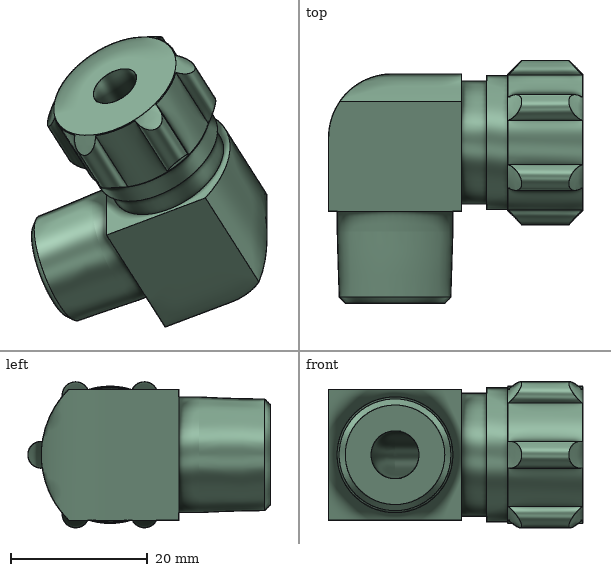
import cadquery as cq
import math


block_length = 19.45
block_height = 19.12
block_front = -10.05
block_back = 10.05
corner_radius = 9.35
back_edge = 6.03

neck_diameter = 18.0
neck_end = 23.1
collar_diameter = 19.6
collar_end = 26.15
nut_end = 37.2
nut_diameter = 20.1
lobe_count = 6
lobe_radius = 1.97
lobe_circle_radius = nut_diameter / 2
first_lobe_angle = 90.0
nut_tip_radius = lobe_circle_radius + lobe_radius
nut_chamfer = 2.1

port_x = block_length / 2
port_diameter = 16.93
port_straight_end = -13.02
port_tip_diameter = 16.33
port_end = -23.47
port_chamfer = 0.9

bore_diameter = 7.0


def x_cylinder(start, end, diameter, y=0, z=0):
    """Cylinder along X from start to end."""
    base = cq.Workplane("YZ", origin=(start, y, z))
    return base.circle(diameter / 2).extrude(end - start)


def make_block():
    """Block with one rounded vertical corner and an arched back."""
    half_height = block_height / 2
    arc_middle = corner_radius * (1 - math.sqrt(0.5))
    plan = (
        cq.Workplane("XY", origin=(0, 0, -half_height))
        .moveTo(0, block_front)
        .lineTo(block_length, block_front)
        .lineTo(block_length, block_back)
        .lineTo(corner_radius, block_back)
        .threePointArc((arc_middle, block_back - arc_middle), (0, block_back - corner_radius))
        .close()
        .extrude(block_height)
    )
    arched_profile = (
        cq.Workplane("YZ")
        .moveTo(block_front, -half_height)
        .lineTo(back_edge, -half_height)
        .threePointArc((block_back, 0), (back_edge, half_height))
        .lineTo(block_front, half_height)
        .close()
        .extrude(block_length)
    )
    return plan.intersect(arched_profile)


def make_nut():
    """Round nut with grip lobes, all trimmed by 45 degree cones at both ends."""
    nut = x_cylinder(collar_end, nut_end, nut_diameter)
    for index in range(lobe_count):
        angle = math.radians(first_lobe_angle + index * 360 / lobe_count)
        lobe_y = lobe_circle_radius * math.sin(angle)
        lobe_z = lobe_circle_radius * math.cos(angle)
        nut = nut.union(x_cylinder(collar_end, nut_end, 2 * lobe_radius, lobe_y, lobe_z))
    envelope = x_cylinder(collar_end, nut_end, 2 * nut_tip_radius).edges().chamfer(nut_chamfer)
    return nut.intersect(envelope)


def make_port():
    """Revolved port: straight root, slight taper and chamfered tip."""
    tip_radius = port_tip_diameter / 2
    return (
        cq.Workplane("XY", origin=(port_x, 0, 0))
        .moveTo(0, 0)
        .lineTo(port_diameter / 2, 0)
        .lineTo(port_diameter / 2, port_straight_end)
        .lineTo(tip_radius, port_end + port_chamfer)
        .lineTo(tip_radius - port_chamfer, port_end)
        .lineTo(0, port_end)
        .close()
        .revolve(360, (0, 0, 0), (0, 1, 0))
    )


def make_bore():
    """Two passages meeting at right angles in a spherical corner."""
    port_passage = cq.Workplane("XZ", origin=(port_x, 0, 0)).circle(bore_diameter / 2).extrude(-port_end)
    nut_passage = x_cylinder(port_x, nut_end, bore_diameter)
    corner = cq.Workplane("XY", origin=(port_x, 0, 0)).sphere(bore_diameter / 2)
    return port_passage.union(nut_passage).union(corner)


neck = x_cylinder(block_length, neck_end, neck_diameter)
collar = x_cylinder(neck_end, collar_end, collar_diameter)

body = make_block().union(neck).union(collar).union(make_nut()).union(make_port())
result = body.cut(make_bore())